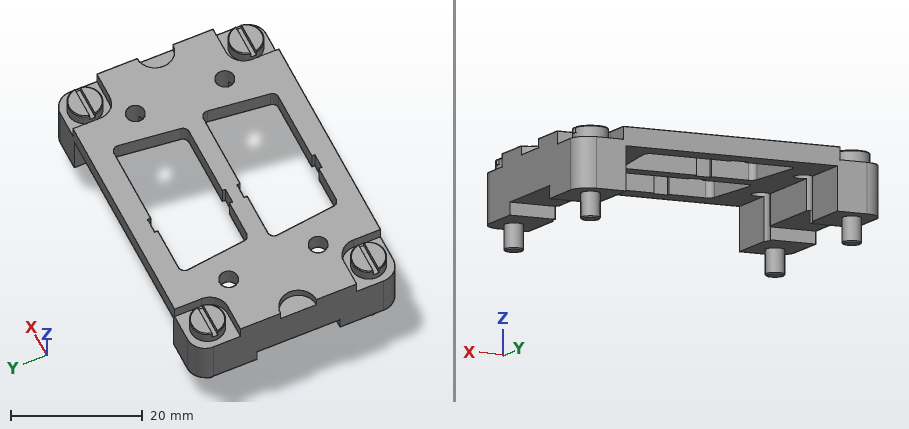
import cadquery as cq

length = 51.5
width = 34.5
leg_height = 10.0
plate_thickness = 3.0
leg_width = 8.0
corner_radius = 3.0

passage_width = 13.9
passage_height = 2.0

seat_size = 7.5
seat_depth = 2.0
seat_radius = 3.0
screw_inset = seat_size / 2
head_diameter = 5.5
head_chamfer = 0.15
slot_width = 0.95
slot_depth = 0.95
shank_diameter = 3.0
shank_chamfer = 0.2
overall_height = 14.0

recess_radius = 3.0
recess_depth = 1.4

window_pitch = 15.0
window_height = 12.0
window_top_width = 25.35
window_bottom_width = 22.45
window_radius = 1.05
notch_width = 2.5
notch_depth = 0.5
notch_x = -2.9
hole_pitch = 33.5
hole_diameter = 3.0

window_centers = [-window_pitch / 2, window_pitch / 2]
corner_signs = [(sx, sy) for sx in (-1, 1) for sy in (-1, 1)]


def make_body():
    """Rounded block opened below the plate, leaving the two legs."""
    body = (
        cq.Workplane("XY")
        .box(length, width, leg_height, centered=(True, True, False))
        .translate((0, 0, -leg_height))
        .edges("|Z")
        .fillet(corner_radius)
    )
    gap_height = leg_height - plate_thickness
    gap = cq.Workplane("XY", origin=(0, 0, -leg_height)).box(
        length - 2 * leg_width, width, gap_height, centered=(True, True, False)
    )
    passage = cq.Workplane("XY", origin=(0, 0, -leg_height)).box(
        length, passage_width, passage_height, centered=(True, True, False)
    )
    return body.cut(gap).cut(passage)


def make_seat(sx, sy):
    """Corner step, rounded only at its inner corner."""
    return (
        cq.Workplane("XY")
        .center(sx * length / 2, sy * width / 2)
        .rect(2 * seat_size, 2 * seat_size)
        .extrude(-seat_depth)
        .edges("|Z")
        .fillet(seat_radius)
    )


def make_screw(sx, sy):
    """Cheese-head screw flush with the top face, its shank standing out below the leg."""
    head = cq.Workplane("XY").circle(head_diameter / 2).extrude(-seat_depth)
    head = head.faces(">Z").chamfer(head_chamfer)
    slot = cq.Workplane("XY").rect(head_diameter, slot_width).extrude(-slot_depth)
    shank = (
        cq.Workplane("XY", origin=(0, 0, -overall_height))
        .circle(shank_diameter / 2)
        .extrude(overall_height - seat_depth)
        .faces("<Z")
        .chamfer(shank_chamfer)
    )
    screw = head.cut(slot).union(shank)
    return screw.translate((sx * (length / 2 - screw_inset), sy * (width / 2 - screw_inset), 0))


def make_window(center_y):
    """Tapered window with a notch in its upper and lower edges."""
    half_height = window_height / 2
    window = (
        cq.Workplane("XY")
        .polyline([
            (-window_bottom_width / 2, center_y - half_height),
            (window_bottom_width / 2, center_y - half_height),
            (window_top_width / 2, center_y + half_height),
            (-window_top_width / 2, center_y + half_height),
        ])
        .close()
        .extrude(-plate_thickness)
        .edges("|Z")
        .fillet(window_radius)
    )
    notches = (
        cq.Workplane("XY")
        .center(notch_x, center_y)
        .rect(notch_width, window_height + 2 * notch_depth)
        .extrude(-plate_thickness)
    )
    return window.union(notches)


result = make_body()

for center_y in window_centers:
    result = result.cut(make_window(center_y))

hole_points = [(sx * hole_pitch / 2, y) for sx in (-1, 1) for y in window_centers]
result = result.cut(
    cq.Workplane("XY").pushPoints(hole_points).circle(hole_diameter / 2).extrude(-leg_height)
)

recess_points = [(-length / 2, 0), (length / 2, 0)]
result = result.cut(
    cq.Workplane("XY").pushPoints(recess_points).circle(recess_radius).extrude(-recess_depth)
)

for sx, sy in corner_signs:
    result = result.cut(make_seat(sx, sy))
    result = result.union(make_screw(sx, sy))